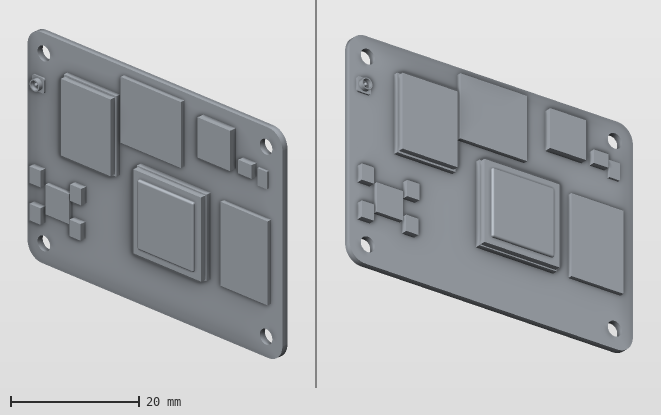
import cadquery as cq

board_length = 55.0
board_height = 40.0
board_thickness = 1.15
corner_radius = 3.0
hole_diameter = 2.7
hole_inset = 3.5

component_face = 0.0
connector_face = component_face + board_thickness

flat_height = 0.8
passive_height = 1.15
shield_height = 1.3
thin_height = 0.5

memory_center = (-13.2, 7.9)
memory_size = (11.35, 13.95)
memory_step = 0.35
memory_height = 1.8

processor_center = (4.5, -3.0)
substrate_side = 15.0
substrate_height = 0.95
body_side = 14.6
body_height = 2.0
lid_side = 12.1
lid_height = 2.5
lid_edge_radius = 0.35

connector_length = 21.6
connector_width = 1.85
connector_height = 1.15
connector_center_x = -2.6
connector_offset_z = 17.05

socket_center = (-24.9, 11.0)
socket_base_side = 2.65
socket_base_height = 0.35
socket_base_radius = 0.4
socket_height = 1.15
socket_outer_diameter = 2.05
socket_inner_diameter = 1.65
pin_diameter = 0.55
pin_height = 1.0
pin_edge_radius = 0.15

passive_size = (2.35, 2.85)
packages = [
    ((-0.1, 12.85), (13.0, 11.45), flat_height),
    ((20.0, -3.1), (10.1, 14.6), flat_height),
    ((-20.3, -8.15), (5.05, 5.15), flat_height),
    ((13.95, 14.0), (7.0, 7.0), shield_height),
    ((20.5, 11.8), (2.85, 2.35), passive_height),
    ((23.6, 11.0), (2.05, 3.0), thin_height),
    ((-24.8, -4.8), passive_size, passive_height),
    ((-16.0, -4.95), passive_size, passive_height),
    ((-24.8, -11.3), passive_size, passive_height),
    ((-16.15, -11.1), passive_size, passive_height),
]


def face_plane(center, level=0.0):
    """Workplane facing -Y at a height above the component face."""
    return cq.Workplane("XZ", origin=(center[0], component_face - level, center[1]))


def package(center, size, top, bottom=0.0):
    """Rectangular block between two heights above the component face."""
    return face_plane(center, bottom).rect(*size).extrude(top - bottom)


def make_board():
    board = cq.Workplane("XZ").rect(board_length, board_height).extrude(-board_thickness)
    board = board.edges("|Y").fillet(corner_radius)
    holes = (
        cq.Workplane("XZ")
        .rect(board_length - 2 * hole_inset, board_height - 2 * hole_inset, forConstruction=True)
        .vertices()
        .circle(hole_diameter / 2)
        .extrude(-board_thickness)
    )
    return board.cut(holes)


def make_memory():
    lower = package(memory_center, memory_size, flat_height)
    upper_size = [side - 2 * memory_step for side in memory_size]
    return lower.union(package(memory_center, upper_size, memory_height, flat_height))


def make_processor():
    substrate = package(processor_center, (substrate_side, substrate_side), substrate_height)
    body = package(processor_center, (body_side, body_side), body_height, substrate_height)
    lid = package(processor_center, (lid_side, lid_side), lid_height, body_height)
    lid = lid.edges("|Y or <Y").fillet(lid_edge_radius)
    return substrate.union(body).union(lid)


def make_connectors():
    return (
        cq.Workplane("XZ", origin=(connector_center_x, connector_face, 0))
        .pushPoints([(0, connector_offset_z), (0, -connector_offset_z)])
        .rect(connector_length, connector_width)
        .extrude(-connector_height)
    )


def make_antenna_socket():
    base = package(socket_center, (socket_base_side, socket_base_side), socket_base_height)
    base = base.edges("|Y").fillet(socket_base_radius)
    floor = face_plane(socket_center, socket_base_height)
    shell = (
        floor.circle(socket_outer_diameter / 2)
        .circle(socket_inner_diameter / 2)
        .extrude(socket_height - socket_base_height)
    )
    pin = floor.circle(pin_diameter / 2).extrude(pin_height - socket_base_height)
    pin = pin.faces("<Y").edges().fillet(pin_edge_radius)
    return base.union(shell).union(pin)


result = make_board().union(make_connectors())
for center, size, height in packages:
    result = result.union(package(center, size, height))
result = result.union(make_memory()).union(make_processor()).union(make_antenna_socket())